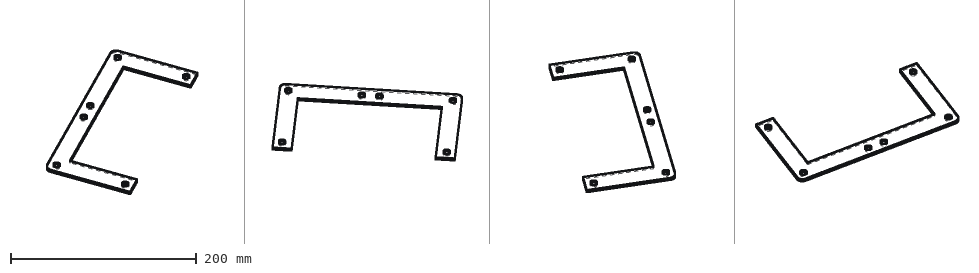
import cadquery as cq

length_x = 98.425
length_y = 196.85
thickness = 3.175

strip_width = 20.6375
corner_radius = 6.35

hole_diameter = 7.11
hole_edge_distance = 9.525
middle_hole_spacing = 19.05


def make_frame():
    """C-shaped plate, open toward +X, with its two outer -X corners rounded."""
    plate = cq.Workplane("XY").box(length_x, length_y, thickness)
    plate = plate.edges("|Z and <X").fillet(corner_radius)
    opening = (
        cq.Workplane("XY")
        .box(length_x, length_y - 2 * strip_width, thickness)
        .translate((strip_width, 0, 0))
    )
    return plate.cut(opening)


def hole_positions():
    """Centres of the arm-end, corner and mid-spine holes, mirrored about the X axis."""
    spine_x = -length_x / 2 + hole_edge_distance
    arm_end_x = length_x / 2 - hole_edge_distance
    arm_y = length_y / 2 - hole_edge_distance
    positions = []
    for side in (-1, 1):
        positions.append((spine_x, side * arm_y))
        positions.append((arm_end_x, side * arm_y))
        positions.append((spine_x, side * middle_hole_spacing / 2))
    return positions


def drill_holes(frame):
    """Drill every mounting hole through the plate."""
    return (
        frame.faces(">Z")
        .workplane(origin=(0, 0, 0))
        .pushPoints(hole_positions())
        .hole(hole_diameter)
    )


result = drill_holes(make_frame())